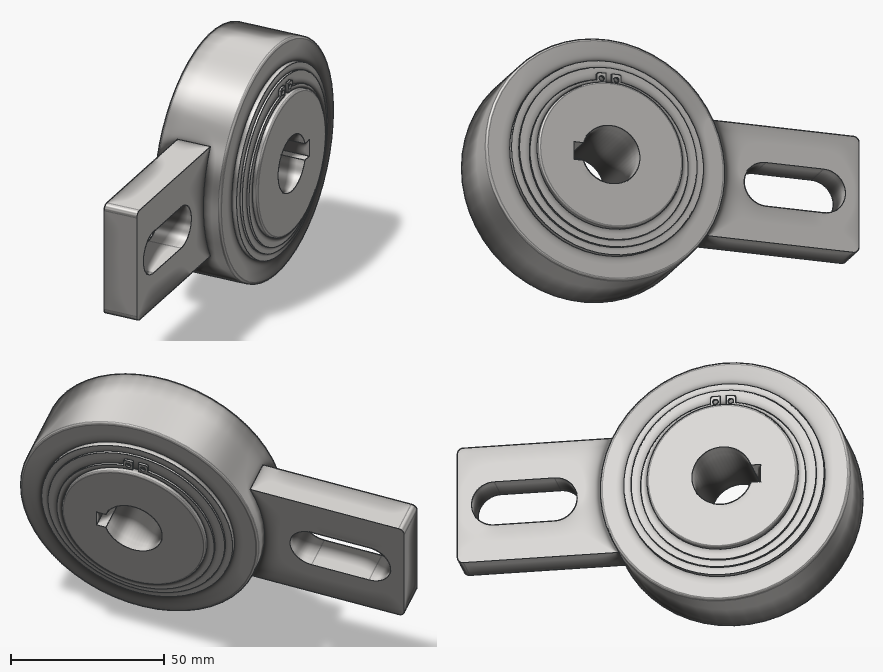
import cadquery as cq

hub_width = 35.0
hub_radius = 25.0
hub_fillet = 0.6

rim_width = 24.5
rim_radius = 41.5
rim_fillet = 0.8
cover_width = 28.0
cover_radius = 33.25
race_width = 29.6
race_radius = 30.75

bore_diameter = 20.0
key_width = 6.0
key_height = 22.8

ring_thickness = 0.8
ring_radius = 27.4
ring_offset = -1.1
lug_gap = 2.0
lug_outer_reach = 4.2
lug_top = 28.5
lug_corner_radius = 0.8
lug_hole_diameter = 1.8
lug_hole_y = 2.55
lug_hole_z = 26.6

arm_end = 90.0
arm_height = 40.0
arm_thickness = 12.0
arm_corner_radius = 2.0
slot_length = 35.0
slot_width = 15.0
slot_center = 67.75


def disc(radius, width):
    """Disc about the X axis, centred on X = 0."""
    return cq.Workplane("YZ").workplane(offset=-width / 2).circle(radius).extrude(width)


def rounded_disc(radius, width, fillet):
    """Disc about the X axis with both outer edges rounded."""
    return disc(radius, width).edges("%CIRCLE").fillet(fillet)


def make_arm():
    """Flat arm from the axis toward -Y, with rounded end corners and a slot."""
    arm = (
        cq.Workplane("XY")
        .box(arm_thickness, arm_end, arm_height)
        .translate((0, -arm_end / 2, 0))
        .edges("|X and <Y")
        .fillet(arm_corner_radius)
    )
    slot = (
        cq.Workplane("YZ")
        .center(-slot_center, 0)
        .slot2D(slot_length, slot_width)
        .extrude(arm_thickness / 2, both=True)
    )
    return arm.cut(slot)


def make_lug(side):
    """Undrilled ring lug on the +Y (side = 1) or -Y (side = -1) side of the gap."""
    inner = side * lug_gap / 2
    outer = side * lug_outer_reach
    return (
        cq.Workplane("YZ")
        .moveTo(inner, 0)
        .lineTo(inner, lug_top)
        .lineTo(outer - side * lug_corner_radius, lug_top)
        .radiusArc((outer, lug_top - lug_corner_radius), side * lug_corner_radius)
        .lineTo(outer, 0)
        .close()
        .extrude(ring_thickness)
    )


def make_retaining_ring():
    """Eccentric open ring with two lugs at the top, lying on X = 0 toward +X."""
    ring = cq.Workplane("YZ").center(0, ring_offset).circle(ring_radius).extrude(ring_thickness)
    gap = cq.Workplane("YZ").center(0, lug_top / 2).rect(lug_gap, lug_top).extrude(ring_thickness)
    ring = ring.cut(gap)
    for side in (1, -1):
        ring = ring.union(make_lug(side))
    holes = (
        cq.Workplane("YZ")
        .pushPoints([(lug_hole_y, lug_hole_z), (-lug_hole_y, lug_hole_z)])
        .circle(lug_hole_diameter / 2)
        .extrude(ring_thickness)
    )
    return ring.cut(holes)


def make_keyed_bore():
    """Through bore with a keyway on the +Y side."""
    key_reach = key_height - bore_diameter / 2
    keyway = cq.Workplane("XY").box(hub_width, key_reach, key_width).translate((0, key_reach / 2, 0))
    return disc(bore_diameter / 2, hub_width).union(keyway)


body = rounded_disc(rim_radius, rim_width, rim_fillet)
body = body.union(make_arm())
body = body.union(disc(cover_radius, cover_width))
body = body.union(disc(race_radius, race_width))

ring = make_retaining_ring()
body = body.union(ring.translate((race_width / 2, 0, 0)))
body = body.union(ring.mirror("YZ").translate((-race_width / 2, 0, 0)))

body = body.union(rounded_disc(hub_radius, hub_width, hub_fillet))

result = body.cut(make_keyed_bore())